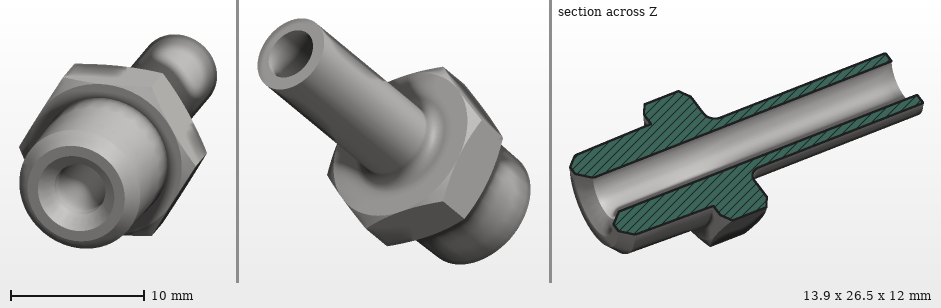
import cadquery as cq
import math

thread_length = 7.5
hex_thickness = 4.0
total_length = 26.5
hex_start = thread_length
hex_end = hex_start + hex_thickness

across_flats = 12.0
across_corners = across_flats / math.cos(math.radians(30))
hex_chamfer_angle = 30

thread_root_radius = 4.9
thread_tip_radius = 4.75
tip_chamfer = 0.93
tip_face_radius = thread_tip_radius - tip_chamfer

tube_radius = 3.0
flare = 0.95

bore_radius = 2.0
countersink_radius = 3.0
countersink_depth = countersink_radius - bore_radius


def revolve(sketch):
    """Turn a closed radius-by-Y profile about the Y axis."""
    return sketch.close().revolve(360, (0, 0, 0), (0, 1, 0))


def make_thread_body():
    return revolve(
        cq.Workplane("XY")
        .lineTo(tip_face_radius, 0)
        .lineTo(thread_tip_radius, tip_chamfer)
        .lineTo(thread_root_radius, hex_start)
        .lineTo(0, hex_start)
    )


def make_hex():
    """Hexagonal collar with its corners turned down at both faces."""
    prism = (
        cq.Workplane("XZ", origin=(0, hex_start, 0))
        .polygon(6, across_corners)
        .extrude(-hex_thickness)
    )
    face_radius = across_flats / 2
    corner_radius = across_corners / 2
    drop = (corner_radius - face_radius) * math.tan(math.radians(hex_chamfer_angle))
    envelope = revolve(
        cq.Workplane("XY")
        .moveTo(0, hex_start)
        .lineTo(face_radius, hex_start)
        .lineTo(corner_radius, hex_start + drop)
        .lineTo(corner_radius, hex_end - drop)
        .lineTo(face_radius, hex_end)
        .lineTo(0, hex_end)
    )
    return prism.intersect(envelope)


def make_tube():
    return revolve(
        cq.Workplane("XY")
        .moveTo(0, hex_end)
        .lineTo(tube_radius + flare, hex_end)
        .radiusArc((tube_radius, hex_end + flare), flare)
        .lineTo(tube_radius, total_length)
        .lineTo(0, total_length)
    )


def make_bore():
    return revolve(
        cq.Workplane("XY")
        .lineTo(countersink_radius, 0)
        .lineTo(bore_radius, countersink_depth)
        .lineTo(bore_radius, total_length)
        .lineTo(0, total_length)
    )


result = make_thread_body().union(make_hex()).union(make_tube()).cut(make_bore())